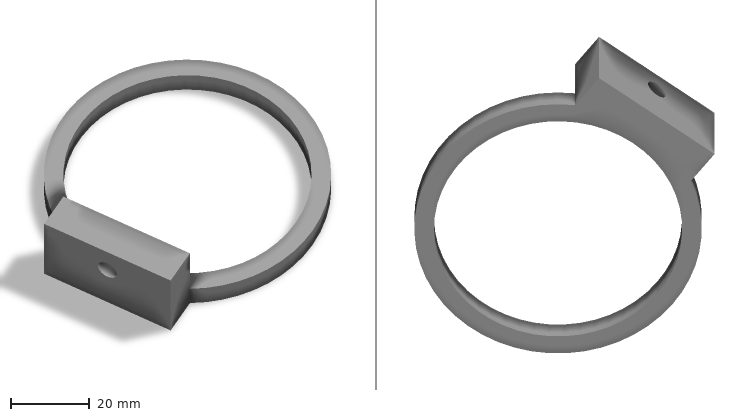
import cadquery as cq
import math

ring_outer_diameter = 73.0
ring_inner_diameter = 63.0
ring_height = 6.0

overall_length = 78.0
overall_height = 21.0
hole_diameter = 5.5

outer_radius = ring_outer_diameter / 2
inner_radius = ring_inner_diameter / 2

block_width = 2 * math.sqrt(outer_radius**2 - inner_radius**2)
block_depth = overall_length - outer_radius - inner_radius
hole_height = (ring_height + overall_height) / 2


def make_ring():
    """Flat ring centred on the Z axis."""
    return cq.Workplane("XY").circle(outer_radius).circle(inner_radius).extrude(ring_height)


def make_block():
    """Upright block on the -Y side of the ring, starting at the bore's tangent plane."""
    return (
        cq.Workplane("XY")
        .center(0, -inner_radius - block_depth / 2)
        .rect(block_width, block_depth)
        .extrude(overall_height)
    )


def make_hole():
    """Cylinder passing through the block along Y, midway up the part above the ring."""
    return (
        cq.Workplane("XZ", origin=(0, -inner_radius, hole_height))
        .circle(hole_diameter / 2)
        .extrude(block_depth)
    )


result = make_ring().union(make_block(), clean=False).cut(make_hole(), clean=False)